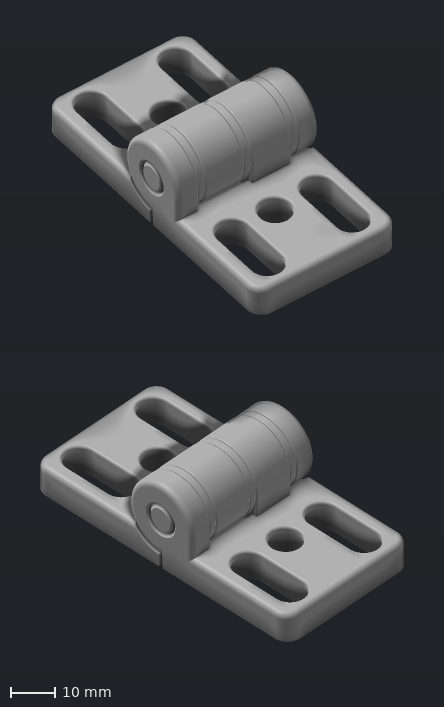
import cadquery as cq
import math

total_length = 80.0
leaf_width = 40.0
plate_thickness = 8.0
leaf_gap = 1.2
corner_radius = 4.0
edge_fillet = 1.5

hole_diameter = 8.3
hole_edge_fillet = 0.7
hole_x = -20.0
slot_outer_x = -33.0
slot_y = 12.0
rim_margin = 0.1
rim_side_margin = 0.8

barrel_diameter = 20.0
axis_height = 14.0
bore_diameter = 8.2
bore_chamfer = 0.6
knuckle_fillet = 0.5
barrel_clearance = 0.6
end_knuckle_length = 5.9

washer_diameter = 19.8
washer_thickness = 2.0
washer_edge_fillet = 0.3

pin_diameter = 8.0
pin_length = 40.0
pin_end_chamfer = 1.0

half_width = leaf_width / 2
barrel_radius = barrel_diameter / 2
outer_joint_y = half_width - end_knuckle_length - washer_thickness / 2
joint_positions = [-outer_joint_y, 0.0, outer_joint_y]
end_knuckle_start = half_width - end_knuckle_length
middle_knuckle_start = -outer_joint_y + washer_thickness / 2
middle_knuckle_end = -washer_thickness / 2


def y_cylinder(diameter, y_start, y_end):
    """Cylinder on the hinge axis between two Y positions."""
    return (
        cq.Workplane("XZ", origin=(0, y_start, axis_height))
        .circle(diameter / 2)
        .extrude(y_start - y_end)
    )


def make_plate():
    """Flat plate on the -X side with rounded outer corners and top edges."""
    plate_length = (total_length - leaf_gap) / 2
    plate = (
        cq.Workplane("XY")
        .box(plate_length, leaf_width, plate_thickness, centered=(False, True, False))
        .translate((-total_length / 2, 0, 0))
    )
    plate = plate.edges("|Z and <X").fillet(corner_radius)
    outer_rim = plate.faces(">Z").edges("not >X")
    return outer_rim.fillet(edge_fillet)


def knuckle_blank(y_start, y_end):
    """Round knuckle with a flat outer side that runs down into the plate."""
    inner_x = -leaf_gap / 2
    bottom = -math.sqrt(barrel_radius**2 - inner_x**2)
    return (
        cq.Workplane("XZ", origin=(0, y_start, axis_height))
        .moveTo(inner_x, bottom)
        .lineTo(-barrel_radius, bottom)
        .lineTo(-barrel_radius, 0)
        .threePointArc((0, barrel_radius), (barrel_radius, 0))
        .radiusArc((inner_x, bottom), barrel_radius)
        .close()
        .extrude(y_start - y_end)
    )


def make_end_knuckle():
    """Knuckle flush with the plate end, its outer rim rounded and its bore mouth chamfered."""
    knuckle = knuckle_blank(end_knuckle_start, half_width)
    knuckle = knuckle.faces(">Y").edges().fillet(edge_fillet)
    knuckle = knuckle.faces("<Y").edges().fillet(knuckle_fillet)
    knuckle = knuckle.cut(y_cylinder(bore_diameter, end_knuckle_start, half_width))
    bore_mouth = knuckle.faces(">Y").edges(cq.selectors.RadiusNthSelector(0))
    return bore_mouth.chamfer(bore_chamfer)


def make_middle_knuckle():
    """Inner knuckle with both rims rounded."""
    knuckle = knuckle_blank(middle_knuckle_start, middle_knuckle_end)
    knuckle = knuckle.faces("<Y or >Y").edges().fillet(knuckle_fillet)
    return knuckle.cut(y_cylinder(bore_diameter, middle_knuckle_start, middle_knuckle_end))


def hole_cutter(x_start, x_end, y):
    """Cutter through the plate: a slot between two X positions, or a round hole where they agree."""
    span = x_end - x_start
    sketch = cq.Workplane("XY", origin=((x_start + x_end) / 2, y, 0))
    if span > 0:
        sketch = sketch.slot2D(span + hole_diameter, hole_diameter)
    else:
        sketch = sketch.circle(hole_diameter / 2)
    return sketch.extrude(plate_thickness)


def cut_mounting_holes(plate):
    """One round hole and two slots, all with rounded top edges."""
    for x_start, y in [(hole_x, 0.0), (slot_outer_x, -slot_y), (slot_outer_x, slot_y)]:
        plate = plate.cut(hole_cutter(x_start, hole_x, y))
    rim_reach = hole_diameter / 2 + rim_margin
    rim_half_width = half_width - edge_fillet - rim_side_margin
    opening_rims = cq.selectors.BoxSelector(
        (slot_outer_x - rim_reach, -rim_half_width, plate_thickness - rim_margin),
        (hole_x + rim_reach, rim_half_width, plate_thickness + rim_margin),
        boundingbox=True,
    )
    return plate.edges(opening_rims).fillet(hole_edge_fillet)


def make_leaf():
    """Leaf on the -X side: plate with holes, room for the other barrel parts, and two knuckles."""
    leaf = cut_mounting_holes(make_plate())
    clearance_diameter = barrel_diameter + 2 * barrel_clearance
    for y_start, y_end in [(-half_width, middle_knuckle_start), (middle_knuckle_end, end_knuckle_start)]:
        leaf = leaf.cut(y_cylinder(clearance_diameter, y_start, y_end))
    for knuckle in [make_end_knuckle(), make_middle_knuckle()]:
        leaf = leaf.union(knuckle)
    return leaf


def make_washer(y):
    """Spacer washer centred on a joint between two knuckles."""
    start = y - washer_thickness / 2
    end = y + washer_thickness / 2
    disc = y_cylinder(washer_diameter, start, end).edges("%CIRCLE").fillet(washer_edge_fillet)
    return disc.cut(y_cylinder(bore_diameter, start, end))


def make_pin():
    """Hinge pin with chamfered ends."""
    return y_cylinder(pin_diameter, -pin_length / 2, pin_length / 2).edges("%CIRCLE").chamfer(pin_end_chamfer)


left_leaf = make_leaf()
right_leaf = left_leaf.rotate((0, 0, 0), (0, 0, 1), 180)
washers = [make_washer(y) for y in joint_positions]
pin = make_pin()

result = cq.Compound.makeCompound(
    [left_leaf.val(), right_leaf.val(), pin.val(), *[washer.val() for washer in washers]]
)